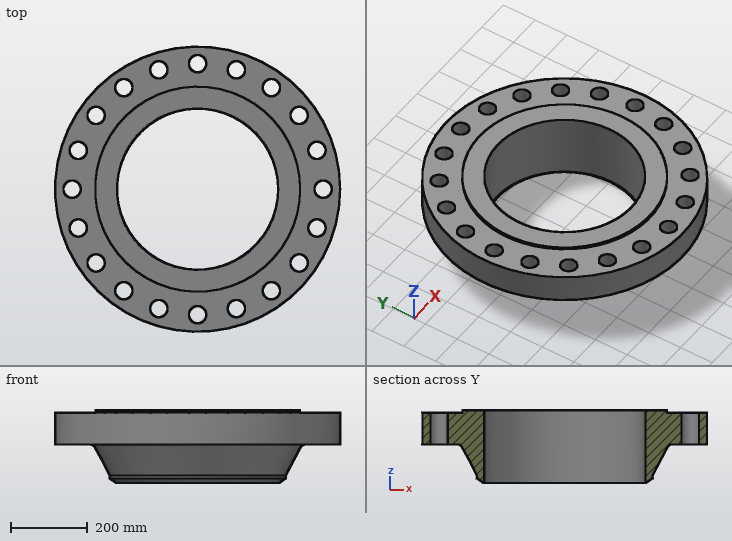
import cadquery as cq

flange_diameter = 743.0
flange_thickness = 83.0
face_diameter = 534.0
face_height = 7.0
total_height = 190.0
bore_diameter = 419.0

hub_base_radius = 272.0
hub_fillet_radius = 11.0
neck_radius = 229.5
neck_length = 7.5
weld_end_radius = 212.0
weld_bevel_height = 13.0

bolt_count = 20
bolt_circle_diameter = 654.0
bolt_hole_diameter = 44.5

flange_radius = flange_diameter / 2
face_radius = face_diameter / 2
bore_radius = bore_diameter / 2
flange_top = total_height - face_height
flange_bottom = flange_top - flange_thickness
neck_top = weld_bevel_height + neck_length


def revolved_body():
    """Half section of the flange, revolved about the Z axis."""
    section = [
        (bore_radius, 0),
        (weld_end_radius, 0),
        (neck_radius, weld_bevel_height),
        (neck_radius, neck_top),
        (hub_base_radius, flange_bottom),
        (flange_radius, flange_bottom),
        (flange_radius, flange_top),
        (face_radius, flange_top),
        (face_radius, total_height),
        (bore_radius, total_height),
    ]
    return cq.Workplane("XZ").polyline(section).close().revolve(360, (0, 0, 0), (0, 1, 0))


def fillet_hub_base(body):
    """Round the inside corner where the hub meets the flange."""
    half_height = 1.0
    corner_box = cq.selectors.BoxSelector(
        (-flange_radius, -flange_radius, flange_bottom - half_height),
        (flange_radius, flange_radius, flange_bottom + half_height),
        boundingbox=True,
    )
    hub_corner = cq.selectors.RadiusNthSelector(0)
    return body.edges(corner_box).edges(hub_corner).fillet(hub_fillet_radius)


def bolt_holes():
    """Cutters for the evenly spaced bolt holes, the first on the X axis."""
    return (
        cq.Workplane("XY")
        .polarArray(bolt_circle_diameter / 2, 0, 360, bolt_count)
        .circle(bolt_hole_diameter / 2)
        .extrude(total_height)
    )


result = fillet_hub_base(revolved_body()).cut(bolt_holes())